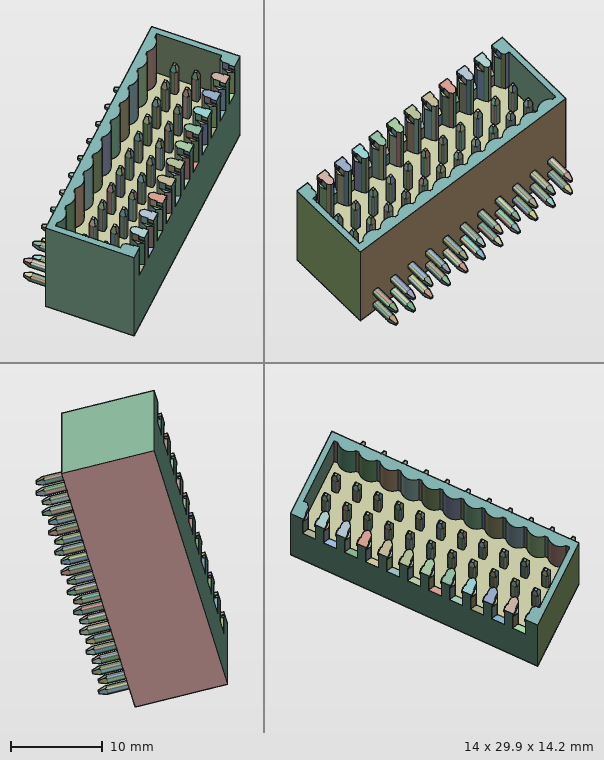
import cadquery as cq

HOUSING_DEPTH = 10.5
HOUSING_LENGTH = 29.9
HOUSING_HEIGHT = 14.2
FLOOR_Z = 7.1
BACK_WALL = 0.9
END_WALL = 0.7

CONTACTS_PER_ROW = 11
PITCH = 2.54

RIB_HEIGHT = 0.5
RIB_WIDTH = 2.2

POST_TIP_X = 8.6
POST_TIP_HALF_WIDTH = 0.2
POST_SHOULDER_X = 9.0
POST_HALF_WIDTH = 0.5
CAP_HALF_WIDTH = 0.6
CAP_HEIGHT = 0.66
RIDGE_END_X = 10.45
RIDGE_HALF_WIDTH = 0.82
RIDGE_DROP = 1.15

SILL_TOP_Z = 9.25
SILL_X = 9.78

PIN_SIZE = 0.84
PIN_CORNER_RADIUS = 0.22
PIN_TIP_SIZE = 0.32
PIN_TAPER_LENGTH = 1.0
PIN_REACH = 3.5
PIN_TOP_Z = 12.0
FIRST_ROW_X = 3.66
FIRST_ROW_Z = 1.25
PIN_EMBED = 1.0
ROW_COUNT = 2

CONTACT_YS = [(i - (CONTACTS_PER_ROW - 1) / 2) * PITCH for i in range(CONTACTS_PER_ROW)]
POST_YS = [(i - CONTACTS_PER_ROW / 2) * PITCH for i in range(CONTACTS_PER_ROW + 1)]


def block(x_range, y_range, z_range):
    """Box spanning the given (low, high) ranges."""
    sizes = [high - low for low, high in (x_range, y_range, z_range)]
    corner = (x_range[0], y_range[0], z_range[0])
    return cq.Workplane("XY").box(*sizes, centered=False).translate(corner)


def make_shell():
    """Box with the cavity cut through its top and front, closed below by the sill."""
    half_length = HOUSING_LENGTH / 2
    inner_half_length = half_length - END_WALL
    depth = (0, HOUSING_DEPTH)
    inner_length = (-inner_half_length, inner_half_length)
    shell = block(depth, (-half_length, half_length), (0, HOUSING_HEIGHT))
    shell = shell.cut(block((BACK_WALL, HOUSING_DEPTH), inner_length, (FLOOR_Z, HOUSING_HEIGHT)))
    return shell.union(block((SILL_X, HOUSING_DEPTH), inner_length, (FLOOR_Z, SILL_TOP_Z)))


def make_rib():
    """Rib with an arc-shaped section, standing on the floor against the back wall."""
    return (
        cq.Workplane("XY", origin=(0, 0, FLOOR_Z))
        .moveTo(0, -RIB_WIDTH / 2)
        .lineTo(BACK_WALL, -RIB_WIDTH / 2)
        .threePointArc((BACK_WALL + RIB_HEIGHT, 0), (BACK_WALL, RIB_WIDTH / 2))
        .lineTo(0, RIB_WIDTH / 2)
        .close()
        .extrude(HOUSING_HEIGHT - FLOOR_Z)
    )


def make_post():
    """Post with a bevelled inner end, a wider cap at the top and a ridge on each side."""
    wall_height = HOUSING_HEIGHT - FLOOR_Z
    base = cq.Workplane("XY", origin=(0, 0, FLOOR_Z))
    column = base.polyline([
        (POST_TIP_X, -POST_TIP_HALF_WIDTH),
        (POST_SHOULDER_X, -POST_HALF_WIDTH),
        (HOUSING_DEPTH, -POST_HALF_WIDTH),
        (HOUSING_DEPTH, POST_HALF_WIDTH),
        (POST_SHOULDER_X, POST_HALF_WIDTH),
        (POST_TIP_X, POST_TIP_HALF_WIDTH),
    ]).close().extrude(wall_height)
    ridges = base.polyline([
        (POST_SHOULDER_X, -POST_HALF_WIDTH),
        (SILL_X, -RIDGE_HALF_WIDTH),
        (RIDGE_END_X, -POST_HALF_WIDTH),
        (RIDGE_END_X, POST_HALF_WIDTH),
        (SILL_X, RIDGE_HALF_WIDTH),
        (POST_SHOULDER_X, POST_HALF_WIDTH),
    ]).close().extrude(wall_height - RIDGE_DROP)
    cap = block(
        (SILL_X, HOUSING_DEPTH),
        (-CAP_HALF_WIDTH, CAP_HALF_WIDTH),
        (HOUSING_HEIGHT - CAP_HEIGHT, HOUSING_HEIGHT),
    )
    return column.union(ridges).union(cap)


def make_corner_fill(side):
    """Solid between an end wall (side = -1 or 1) and the outermost post."""
    edge_ys = sorted((side * POST_YS[-1], side * HOUSING_LENGTH / 2))
    return block((POST_TIP_X, HOUSING_DEPTH), edge_ys, (FLOOR_Z, HOUSING_HEIGHT))


def make_pin(length):
    """Pin along +Z from the origin, its tip at the given length."""
    wire = (
        cq.Workplane("XY")
        .rect(PIN_SIZE, PIN_SIZE)
        .extrude(length)
        .edges("|Z")
        .fillet(PIN_CORNER_RADIUS)
    )
    straight_length = length - PIN_TAPER_LENGTH
    envelope = (
        cq.Workplane("XY")
        .rect(PIN_SIZE, PIN_SIZE)
        .extrude(straight_length)
        .faces(">Z")
        .workplane()
        .rect(PIN_SIZE, PIN_SIZE)
        .workplane(offset=PIN_TAPER_LENGTH)
        .rect(PIN_TIP_SIZE, PIN_TIP_SIZE)
        .loft()
    )
    return wire.intersect(envelope)


def at_each(shape, ys):
    """Copies of a shape moved to each Y position."""
    return [shape.translate((0, y, 0)).val() for y in ys]


contact_pin = make_pin(PIN_TOP_Z - FLOOR_Z + PIN_EMBED).translate((0, 0, FLOOR_Z - PIN_EMBED))
solder_pin = (
    make_pin(PIN_REACH + PIN_EMBED)
    .rotate((0, 0, 0), (0, 1, 0), -90)
    .translate((PIN_EMBED, 0, 0))
)

pieces = at_each(make_rib(), CONTACT_YS) + at_each(make_post(), POST_YS)
for row in range(ROW_COUNT):
    row_offset = row * PITCH
    pieces += at_each(contact_pin.translate((FIRST_ROW_X + row_offset, 0, 0)), CONTACT_YS)
    pieces += at_each(solder_pin.translate((0, 0, FIRST_ROW_Z + row_offset)), CONTACT_YS)
for end in (-1, 1):
    pieces.append(make_corner_fill(end).val())

result = cq.Workplane(make_shell().val().fuse(*pieces).clean())